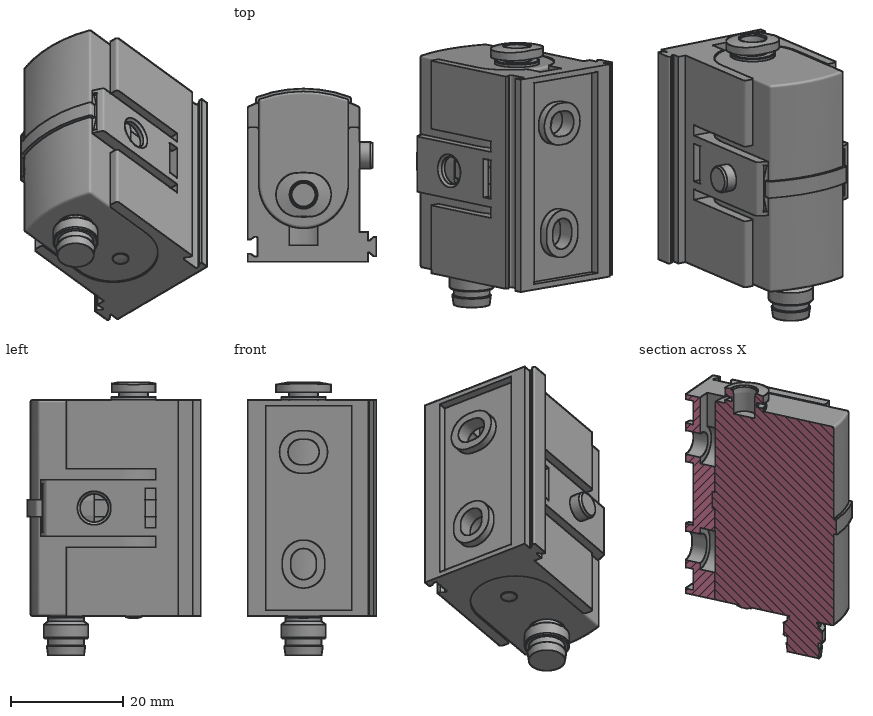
import cadquery as cq
import math

body_height = 38.55
mid_z = body_height / 2
sensor_half_width = 8.0
sensor_round_y = 14.0
front_arc_radius = 22.9
sensor_front_y = 30.4
front_arc_y = sensor_front_y - front_arc_radius
edge_fillet = 0.5
through = 97.4

band_height = 3.0
band_side = 0.5
band_front_y = 30.92
latch_depth = 0.8
latch_edge_depth = 0.25
latch_back_y = 19.0
latch_half_height = 4.35
latch_flat_half_height = 1.3

housing_half_width = 10.0
arm_end_y = 24.0
arm_fillet = 0.5
tab_half_height = 5.0
tab_tip_inset = 0.45
slot_width = 1.95
slot_back_y = 8.0
window_size_y = 1.95
window_size_z = 7.0

knob_y = 19.0
knob_diameter = 4.8
knob_end_x = 12.35
knob_chamfer_length = 0.45
knob_chamfer_depth = 0.25
side_hole_diameter = 5.0
side_hole_rim_diameter = 6.0

rail_block_x = 11.5
rail_block_y = 5.35
rail_tip_x = 13.0
rail_mid_y = 2.75
rail_neck_half = 1.05
rail_neck_length = 0.25
rail_wide_half = 1.75
rail_land = 0.5
rail_corner = 0.2
groove_mouth_half = 1.25
groove_mouth_length = 0.6
groove_depth = 1.75

recess_left_x = -6.75
recess_right_x = 8.55
recess_depth = 1.55
recess_margin_z = 1.0
mount_pitch = 19.95
mount_hole_diameter = 4.55
mount_ring_diameter = 7.55
mount_head_diameter = 6.9
mount_stretch = 1.0
pocket_width = 5.0
pocket_back_y = 3.0

fitting_y = 12.0
collar_diameter = 8.0
collar_height = 0.6
collar_chamfer = 0.15
neck_diameter = 5.2
head_bottom = 1.3
head_rim = 2.75
head_top = 3.15
head_width_y = 7.85
head_stretch = 2.0
fitting_rim_diameter = 5.0
fitting_bore_diameter = 4.55
fitting_inner_diameter = 4.2
fitting_rim_depth = 0.25
fitting_bore_depth = 1.2
fitting_hole_depth = 4.85

connector_y = 24.0
connector_length = 48.7 - body_height - head_top
connector_collar_diameter = 8.0
connector_collar_end_diameter = 7.5
connector_body_diameter = 6.5
connector_lip_diameter = 6.9
connector_neck_diameter = 5.8
connector_neck_end = 0.25
connector_shoulder_start = 0.93
connector_collar_start = 1.5
connector_collar_chamfer_start = 3.75
connector_collar_end = 4.0
connector_lip_start = 5.15
connector_lip_crest = 5.35
point_diameter = 2.9
point_shoulder_diameter = 2.8
point_tip_diameter = 1.0
point_shoulder_height = 0.15
point_height = 0.4

mounts = [(mid_z + mount_pitch / 2, 0), (mid_z - mount_pitch / 2, 90)]


def arc_y(x, radius):
    """Y on an arc about the centre of the sensor front arc."""
    return front_arc_y + math.sqrt(radius ** 2 - x ** 2)


def sensor_outline(half_width, front_radius, z):
    """Round back, straight sides and bowed front."""
    corner_y = arc_y(half_width, front_radius)
    return (
        cq.Workplane("XY", origin=(0, 0, z))
        .moveTo(-half_width, corner_y)
        .lineTo(-half_width, sensor_round_y)
        .threePointArc((0, sensor_round_y - half_width), (half_width, sensor_round_y))
        .lineTo(half_width, corner_y)
        .threePointArc((0, front_arc_y + front_radius), (-half_width, corner_y))
        .close()
    )


def sensor_block():
    return sensor_outline(sensor_half_width, front_arc_radius, 0).extrude(body_height)


def band():
    """Flat band that runs around the sensor at mid height."""
    block = sensor_outline(
        sensor_half_width + band_side, band_front_y - front_arc_y, mid_z - band_height / 2
    ).extrude(band_height)
    return block.edges("|Z").edges(">Y").fillet(edge_fillet)


def tip_cylinder():
    """Cylinder whose front carries the bowed tips of the tabs and the ridges."""
    return (
        cq.Workplane("XY")
        .center(0, front_arc_y)
        .circle(front_arc_radius - tab_tip_inset)
        .extrude(body_height)
    )


def oblong(plane, width, stretch, depth):
    """Disc of the given diameter pulled out along the local x axis."""
    return plane.slot2D(width + stretch, width).extrude(depth)


def housing_block():
    """Back plate, two arms and a longer tab on each arm, with the seat for the sensor."""
    plate = cq.Workplane("XY").box(
        housing_half_width + rail_block_x, rail_block_y, body_height, centered=False
    ).translate((-housing_half_width, 0, 0))
    arms = cq.Workplane("XY").box(
        2 * housing_half_width, arm_end_y, body_height, centered=(True, False, False)
    )
    tabs = (
        cq.Workplane("XY")
        .box(2 * housing_half_width, sensor_front_y, 2 * tab_half_height, centered=(True, False, True))
        .translate((0, 0, mid_z))
        .intersect(tip_cylinder())
        .edges("|Z")
        .edges(">Y")
        .fillet(arm_fillet)
    )
    arms = arms.cut(sensor_block())
    arms = arms.edges("|Z").edges(">Y").fillet(arm_fillet)
    return arms.union(plate.cut(sensor_block())).union(tabs.cut(sensor_block()))


def flex_cuts():
    """Slots above and below the tabs, and the window at the root of each tab."""
    cuts = (
        cq.Workplane("XY")
        .box(through, window_size_y, window_size_z, centered=(True, False, True))
        .translate((0, slot_back_y, mid_z))
    )
    for side in (-1, 1):
        slot = (
            cq.Workplane("XY")
            .box(through, through, slot_width, centered=(True, False, True))
            .translate((0, slot_back_y, mid_z + side * (tab_half_height + slot_width / 2)))
        )
        cuts = cuts.union(slot)
    return cuts


def latch_recess():
    """Thins the tabs from the inside, from their roots to their tips."""
    return (
        cq.Workplane("XY")
        .box(
            2 * (sensor_half_width + latch_depth), through, 2 * latch_half_height,
            centered=(True, False, True),
        )
        .translate((0, slot_back_y, mid_z))
    )


def side_hole():
    """Hole through the left tab, with a chamfered mouth."""
    chamfer = (side_hole_rim_diameter - side_hole_diameter) / 2
    hole = (
        cq.Workplane("YZ", origin=(-housing_half_width, knob_y, mid_z))
        .circle(side_hole_diameter / 2)
        .extrude(housing_half_width)
    )
    mouth = (
        cq.Workplane("YZ", origin=(-housing_half_width, knob_y, mid_z))
        .circle(side_hole_rim_diameter / 2)
        .workplane(offset=chamfer)
        .circle(side_hole_diameter / 2)
        .loft()
    )
    return hole.union(mouth)


def knob():
    return (
        cq.Workplane("YZ", origin=(housing_half_width, knob_y, mid_z))
        .circle(knob_diameter / 2)
        .extrude(knob_end_x - housing_half_width)
        .faces(">X")
        .edges()
        .chamfer(knob_chamfer_length, knob_chamfer_depth)
    )


def dovetail(base_x, tip_x, neck_half, neck_length):
    """Dovetail bar along Z that widens towards +X, with rounded outer corners."""
    flare_x = base_x + neck_length
    wide_x = tip_x - rail_land
    bar = (
        cq.Workplane("XY")
        .polyline([
            (base_x, rail_mid_y - neck_half),
            (flare_x, rail_mid_y - neck_half),
            (wide_x, rail_mid_y - rail_wide_half),
            (tip_x, rail_mid_y - rail_wide_half),
            (tip_x, rail_mid_y + rail_wide_half),
            (wide_x, rail_mid_y + rail_wide_half),
            (flare_x, rail_mid_y + neck_half),
            (base_x, rail_mid_y + neck_half),
        ])
        .close()
        .extrude(body_height)
    )
    return bar.edges("|Z and >X").fillet(rail_corner)


def mount_plane(z, angle):
    return cq.Workplane("XZ", origin=(0, 0, z)).transformed(rotate=(0, 0, angle))


def back_recess():
    """Shallow recess in the back, leaving a raised ring around each mounting hole."""
    recess = cq.Workplane("XY").box(
        recess_right_x - recess_left_x, recess_depth, body_height - 2 * recess_margin_z, centered=False
    ).translate((recess_left_x, 0, recess_margin_z))
    for z, angle in mounts:
        recess = recess.cut(oblong(mount_plane(z, angle), mount_ring_diameter, mount_stretch, -recess_depth))
    return recess


def mount_holes():
    """Oblong holes that widen into a space for the screw head next to the sensor."""
    holes = cq.Workplane("XY")
    for z, angle in mounts:
        holes = holes.add(oblong(mount_plane(z, angle), mount_hole_diameter, mount_stretch, -sensor_round_y))
        head_space = oblong(mount_plane(z, angle), mount_head_diameter, mount_stretch, -sensor_round_y)
        holes = holes.add(head_space.translate((0, pocket_back_y, 0)))
    return holes.combine()


def top_pocket():
    """Pocket from the upper end down to the upper mounting hole, open to the sensor."""
    floor_z = mid_z + mount_pitch / 2
    return cq.Workplane("XY").box(
        pocket_width, sensor_round_y - pocket_back_y, body_height - floor_z, centered=(True, False, False)
    ).translate((0, pocket_back_y, floor_z))


housing = (
    housing_block()
    .cut(flex_cuts())
    .cut(latch_recess())
    .cut(band())
    .cut(side_hole())
    .union(knob())
    .union(dovetail(rail_block_x, rail_tip_x, rail_neck_half, rail_neck_length))
    .cut(dovetail(
        -housing_half_width, groove_depth - housing_half_width, groove_mouth_half, groove_mouth_length
    ))
    .cut(back_recess())
    .cut(mount_holes())
    .cut(top_pocket())
)


def latch_ridges():
    """Ridges on both sides of the sensor, sloping away above and below, with bowed front ends."""
    crest_x = sensor_half_width + latch_depth
    edge_x = sensor_half_width + latch_edge_depth
    length = sensor_front_y - latch_back_y
    ridge = (
        cq.Workplane("XZ", origin=(0, latch_back_y, mid_z))
        .polyline([
            (-edge_x, -latch_half_height),
            (edge_x, -latch_half_height),
            (crest_x, -latch_flat_half_height),
            (crest_x, latch_flat_half_height),
            (edge_x, latch_half_height),
            (-edge_x, latch_half_height),
            (-crest_x, latch_flat_half_height),
            (-crest_x, -latch_flat_half_height),
        ])
        .close()
        .extrude(-length)
    )
    return ridge.intersect(tip_cylinder())


def turned(points, y, z):
    """Solid turned about a vertical axis from (diameter, height) points."""
    profile = [(0, points[0][1])] + [(d / 2, h) for d, h in points] + [(0, points[-1][1])]
    return (
        cq.Workplane("XZ", origin=(0, y, z))
        .polyline(profile)
        .close()
        .revolve(360, (0, 0, 0), (0, 1, 0))
    )


def fitting():
    """Collar, neck and oblong head with a conical top."""
    base = turned([
        (collar_diameter, 0),
        (collar_diameter, collar_height - collar_chamfer),
        (collar_diameter - 2 * collar_chamfer, collar_height),
        (neck_diameter, collar_height),
        (neck_diameter, head_bottom),
    ], fitting_y, body_height)
    head_length = head_width_y + head_stretch
    cone = turned([
        (head_length, head_bottom),
        (head_length, head_rim),
        (fitting_rim_diameter, head_top),
    ], fitting_y, body_height)
    prism = oblong(
        cq.Workplane("XY", origin=(0, fitting_y, body_height)), head_width_y, head_stretch, head_top
    )
    return base.union(cone.intersect(prism))


def fitting_bore():
    """Blind bore with a chamfered rim and a tapered mouth."""
    return turned([
        (fitting_inner_diameter, head_top - fitting_hole_depth),
        (fitting_inner_diameter, head_top - fitting_bore_depth),
        (fitting_bore_diameter, head_top - fitting_rim_depth),
        (fitting_rim_diameter, head_top),
    ], fitting_y, body_height)


def connector():
    """Plug connector with a collar and a tapered lip at its end."""
    return turned([
        (connector_neck_diameter, 0),
        (connector_neck_diameter, -connector_neck_end),
        (connector_body_diameter, -connector_neck_end),
        (connector_body_diameter, -connector_shoulder_start),
        (connector_collar_diameter, -connector_collar_start),
        (connector_collar_diameter, -connector_collar_chamfer_start),
        (connector_collar_end_diameter, -connector_collar_end),
        (connector_body_diameter, -connector_collar_end),
        (connector_body_diameter, -connector_lip_start),
        (connector_lip_diameter, -connector_lip_crest),
        (connector_body_diameter, -connector_length),
    ], connector_y, 0)


def locating_point():
    return turned([
        (point_diameter, 0),
        (point_shoulder_diameter, -point_shoulder_height),
        (point_tip_diameter, -point_height),
    ], fitting_y, 0)


sensor = (
    sensor_block()
    .edges()
    .fillet(edge_fillet)
    .union(band())
    .union(latch_ridges())
    .union(fitting())
    .cut(fitting_bore())
    .union(connector())
    .union(locating_point())
)

result = cq.Compound.makeCompound([housing.val(), sensor.val()])